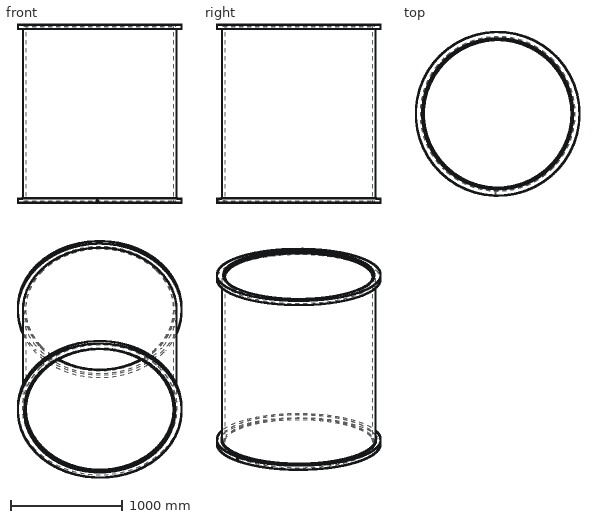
import cadquery as cq

total_height = 1600.0
flange_radius = 736.0
flange_bore_radius = 678.0
flange_thickness = 40.0
tube_outer_radius = 691.0
tube_inner_radius = 662.0
tube_recess = 16.0
tube_end_chamfer = 3.0
weld_leg = 5.0
rim_hole_diameter = 8.0
rim_hole_x = -20.0
rim_hole_height = 18.0


def ring(outer_radius, inner_radius, bottom, height):
    """Upright ring around the Z axis, starting at the given bottom level."""
    return (
        cq.Workplane("XY", origin=(0, 0, bottom))
        .circle(outer_radius)
        .circle(inner_radius)
        .extrude(height)
    )


tube_height = total_height - 2 * tube_recess
result = ring(tube_outer_radius, tube_inner_radius, -tube_height / 2, tube_height)
inner_end_edges = cq.selectors.RadiusNthSelector(0)
result = result.edges("%CIRCLE").edges(inner_end_edges).chamfer(tube_end_chamfer)

bottom_face_z = -total_height / 2
flange_bottoms = (bottom_face_z, total_height / 2 - flange_thickness)
for flange_bottom in flange_bottoms:
    flange = ring(flange_radius, flange_bore_radius, flange_bottom, flange_thickness)
    result = result.union(flange)

weld_root_z = bottom_face_z + flange_thickness
weld_bead = (
    cq.Workplane("XZ")
    .moveTo(flange_bore_radius, weld_root_z)
    .lineTo(tube_outer_radius + weld_leg, weld_root_z)
    .lineTo(tube_outer_radius, weld_root_z + weld_leg)
    .lineTo(flange_bore_radius, weld_root_z + weld_leg)
    .close()
    .revolve(360, (0, 0, 0), (0, 1, 0))
)
result = result.union(weld_bead)

rim_hole = (
    cq.Workplane("XZ")
    .center(rim_hole_x, bottom_face_z + rim_hole_height)
    .circle(rim_hole_diameter / 2)
    .extrude(flange_radius)
)
result = result.cut(rim_hole)